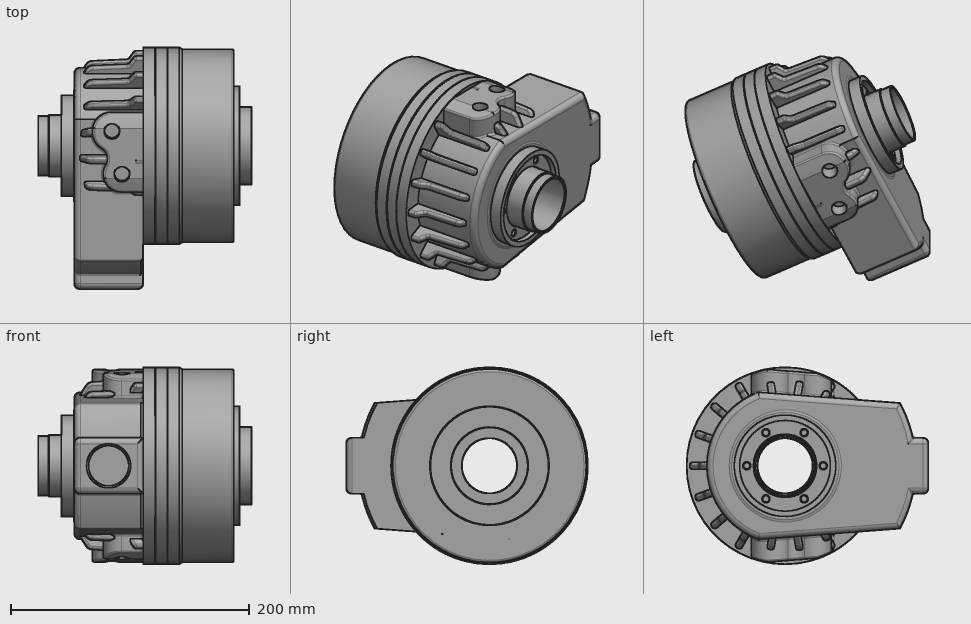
import cadquery as cq
import math


head_front = -57.8
head_radius = 65.5
end_radius = 109.7
side_height = 59.9
side_slope = 4.3
face_fillet = 5.0
end_corner_fillet = 1.5
block_root_fillet = 1.5
end_rear_chamfer = 1.9
port_block_end = -120.15
port_block_half_height = 23.5
port_x = -29.0
port_radius = 16.8
port_mouth_radius = 18.5
port_depth = 45.0
pad_height = 0.5
pad_base_radius = 47.0
pad_top_radius = 45.0
flange_radius = 82.5
flange_thickness = 10.0

upper_lobe = (-26.2, 11.8, 16.5)
lower_lobe = (-18.6, -23.7, 15.0)
neck_radius = 10.0
boss_edge_fillet = 1.8
boss_flange_fillet = 2.0
boss_crown_radius = 82.0
boss_base_z = 50.0
boss_top_height = 79.5
boss_top_slope = 4.5
connection_centres = ((-26.2, 12.0), (-17.8, -23.9))
connection_radius = 6.4
connection_depth = 15.0

rib_width = 6.0
rib_pitch = 20.0
ribs_each_side = 6
rib_root_radius = 58.0
rib_edge_fillet = 2.4

rotor_gap = 0.5
shaft_radius = 42.5
shaft_front = -68.5
recess_radius = 38.0
recess_depth = 5.0
screw_count = 6
screw_circle_radius = 32.0
screw_radius = 2.7
screw_mouth_radius = 3.3
screw_depth = 15.0
joint_x = 20.0
joint_width = 0.5
joint_depth = 1.0
rim_end = 30.2
barrel_start = 32.6
barrel_radius = 81.0
barrel_end = 76.0
barrel_fillet = 2.0
cover_radius = 50.0
cover_end = 81.0
cover_chamfer = 0.6

tube_front = -88.0
tube_rear = 91.0
tube_radius = 26.0
tube_clearance = 0.5
spigot_radius = 25.0
spigot_end = -79.5
spigot_chamfer = 0.6
rod_radius = 32.5
rod_chamfer = 0.5
tube_bore_radius = 23.0
tube_bore_chamfer = 0.5


def cylinder(radius, start, end):
    """Solid cylinder on the X axis between two X positions."""
    return cq.Workplane("YZ", origin=(start, 0, 0)).circle(radius).extrude(end - start)


def revolved(points):
    """Solid of revolution about the X axis from (X, radius) points."""
    return cq.Workplane("XY").polyline(points).close().revolve(360, (0, 0, 0), (1, 0, 0))


def mirrored_pair(body):
    """A body together with its mirror image below the XY plane."""
    return body.union(body.mirror("XY"))


def circle_meets_side(radius, sign):
    """Point (Y, Z) where a circle about the axis meets the upper sloping side, on the +Y or -Y half."""
    slope = math.radians(side_slope)
    along = math.sqrt(radius**2 - (side_height * math.cos(slope))**2)
    foot_y = -side_height * math.sin(slope) * math.cos(slope)
    foot_z = side_height * math.cos(slope)**2
    return (foot_y + sign * along * math.cos(slope), foot_z + sign * along * math.sin(slope))


def make_head():
    round_y, round_z = circle_meets_side(head_radius, 1)
    end_y, end_z = circle_meets_side(end_radius, -1)
    head = (
        cq.Workplane("YZ", origin=(head_front, 0, 0))
        .moveTo(end_y, end_z)
        .lineTo(round_y, round_z)
        .threePointArc((head_radius, 0), (round_y, -round_z))
        .lineTo(end_y, -end_z)
        .threePointArc((-end_radius, 0), (end_y, end_z))
        .close()
        .extrude(-head_front)
    )
    end_box = cq.selectors.BoxSelector((head_front - 1, end_y - 1, -end_radius), (1, end_y + 1, end_radius))
    head = head.faces("<X").edges().fillet(face_fillet)
    rear_end = cq.selectors.BoxSelector((-1, -end_radius, -10), (1, end_y - 1, 10))
    head = head.edges(rear_end).chamfer(end_rear_chamfer)
    head = head.edges("|X").edges(end_box).fillet(end_corner_fillet)

    block = (
        cq.Workplane("XY")
        .box(-head_front, -port_block_end, 2 * port_block_half_height, centered=False)
        .translate((head_front, port_block_end, -port_block_half_height))
        .edges("<Y or (<X and |Y)")
        .fillet(face_fillet)
    )
    joined = head.union(block)
    root_y = -math.sqrt(end_radius**2 - port_block_half_height**2)
    for sign in (1, -1):
        root_z = sign * port_block_half_height
        root = cq.selectors.BoxSelector(
            (head_front + face_fillet, root_y - 0.5, root_z - 0.5), (0, root_y + 0.5, root_z + 0.5)
        )
        joined = joined.edges(root).fillet(block_root_fillet)
    return joined


def make_boss():
    """Two-lobed boss with a sloping top, trimmed by a cylinder about the axis."""
    x1, y1, radius1 = upper_lobe
    x2, y2, radius2 = lower_lobe
    pitch = math.hypot(x2 - x1, y2 - y1)
    ux, uy = (x2 - x1) / pitch, (y2 - y1) / pitch
    reach1 = radius1 + neck_radius
    reach2 = radius2 + neck_radius
    along = (pitch**2 + reach1**2 - reach2**2) / (2 * pitch)
    offset = math.sqrt(reach1**2 - along**2)
    neck_x = x1 + ux * along + uy * offset
    neck_y = y1 + uy * along - ux * offset
    neck_start = (x1 + (neck_x - x1) * radius1 / reach1, y1 + (neck_y - y1) * radius1 / reach1)
    neck_end = (x2 + (neck_x - x2) * radius2 / reach2, y2 + (neck_y - y2) * radius2 / reach2)
    lower_wall = y2 - radius2

    outline = (
        cq.Workplane("XY", origin=(0, 0, boss_base_z))
        .moveTo(0, y1 + radius1)
        .lineTo(x1, y1 + radius1)
        .threePointArc((x1 - radius1, y1), neck_start)
        .threePointArc((neck_x - uy * neck_radius, neck_y + ux * neck_radius), neck_end)
        .threePointArc(
            (x2 - radius2 * math.cos(math.pi / 4), y2 - radius2 * math.sin(math.pi / 4)),
            (x2, lower_wall),
        )
        .lineTo(-boss_flange_fillet, lower_wall)
        .radiusArc((0, lower_wall - boss_flange_fillet), boss_flange_fillet)
        .close()
    )
    boss = outline.extrude(flange_radius - boss_base_z)
    boss = boss.intersect(cylinder(boss_crown_radius, -flange_radius, 0))
    reach_y = flange_radius
    drop = reach_y * math.tan(math.radians(boss_top_slope))
    above_top = (
        cq.Workplane("YZ", origin=(-flange_radius, 0, 0))
        .moveTo(-reach_y, boss_top_height - drop)
        .lineTo(reach_y, boss_top_height + drop)
        .lineTo(reach_y, 2 * flange_radius)
        .lineTo(-reach_y, 2 * flange_radius)
        .close()
        .extrude(flange_radius)
    )
    boss = boss.cut(above_top)

    top_edges = cq.selectors.BoxSelector((-50, -50, 68), (-0.5, 50, flange_radius))
    creases = cq.selectors.BoxSelector((-25, -30, 68), (-10, 20, flange_radius))
    return boss.edges(top_edges - creases).fillet(boss_edge_fillet)


def join_bosses(head):
    """Both bosses on the head, with a fillet around each foot."""
    joined = head.union(mirrored_pair(make_boss()))
    for low, high in ((55, 61), (-61, -55)):
        foot = cq.selectors.BoxSelector((-43, -44, low), (-0.5, 30, high))
        joined = joined.edges(foot).fillet(boss_edge_fillet)
    return joined


def make_rib():
    """Rib on the +Y side, lying in the XY plane, with a rounded crest."""
    front_toe = (-54.5, rib_root_radius)
    shoulder = (-46.0, 71.1)
    step_foot = (-12.5, 72.6)
    step_top = (-7.2, 79.7)
    rib = (
        cq.Workplane("XY", origin=(0, 0, -rib_width / 2))
        .polyline([front_toe, shoulder, step_foot, step_top, (0, step_top[1]), (0, rib_root_radius)])
        .close()
        .extrude(rib_width)
    )
    for corner, radius in ((shoulder, 7.0), (step_foot, 3.0), (step_top, 3.0)):
        near = cq.selectors.BoxSelector(
            (corner[0] - 0.5, corner[1] - 0.5, -rib_width), (corner[0] + 0.5, corner[1] + 0.5, rib_width)
        )
        rib = rib.edges("|Z").edges(near).fillet(radius)
    crest = cq.selectors.BoxSelector((-54.3, rib_root_radius + 0.5, -rib_width), (-0.1, flange_radius, rib_width))
    return rib.edges("#Z").edges(crest).fillet(rib_edge_fillet)


def make_port():
    mouth = port_mouth_radius - port_radius
    start = cq.Workplane("XZ", origin=(port_x, port_block_end, 0))
    bore = start.circle(port_radius).extrude(-port_depth)
    cone = cq.Workplane(
        cq.Solid.makeCone(
            port_mouth_radius, port_radius, mouth,
            cq.Vector(port_x, port_block_end, 0), cq.Vector(0, 1, 0),
        )
    )
    return bore.union(cone)


def make_connections():
    """Pair of blind connection holes, square to the sloping boss top."""
    holes = cq.Workplane("XY")
    slope = math.radians(boss_top_slope)
    for x, y in connection_centres:
        mouth = cq.Vector(x, y, boss_top_height + y * math.tan(slope))
        inward = cq.Vector(0, math.sin(slope), -math.cos(slope))
        start = mouth - inward * 5
        hole = cq.Solid.makeCylinder(connection_radius, connection_depth + 5, start, inward)
        holes = holes.add(cq.Workplane(hole))
    return holes.combine()


def make_housing():
    body = join_bosses(make_head())
    rib = make_rib()
    for step in range(-ribs_each_side, ribs_each_side + 1):
        body = body.union(rib.rotate((0, 0, 0), (1, 0, 0), step * rib_pitch))
    body = body.union(cylinder(flange_radius, 0, flange_thickness))
    body = body.union(
        revolved([
            (head_front, 0),
            (head_front, pad_base_radius),
            (head_front - pad_height, pad_top_radius),
            (head_front - pad_height, 0),
        ])
    )
    body = body.cut(mirrored_pair(make_connections())).cut(make_port())
    return body.cut(cylinder(shaft_radius, shaft_front, flange_thickness))


def make_rotor():
    rim_start = flange_thickness + rotor_gap
    joint_end = joint_x + joint_width
    joint_floor = flange_radius - joint_depth
    bore = tube_radius + tube_clearance
    recess_floor = shaft_front + recess_depth
    rotor = revolved([
        (recess_floor, bore),
        (recess_floor, recess_radius),
        (shaft_front, recess_radius),
        (shaft_front, shaft_radius),
        (rim_start, shaft_radius),
        (rim_start, flange_radius),
        (joint_x, flange_radius),
        (joint_x, joint_floor),
        (joint_end, joint_floor),
        (joint_end, flange_radius),
        (rim_end, flange_radius),
        (barrel_start, barrel_radius),
        (barrel_end, barrel_radius),
        (barrel_end, cover_radius),
        (cover_end - cover_chamfer, cover_radius),
        (cover_end, cover_radius - cover_chamfer),
        (cover_end, rod_radius),
        (joint_end, rod_radius),
        (joint_end, bore),
    ])
    barrel_edge = cq.selectors.RadiusNthSelector(-1)
    rim = rotor.edges(cq.selectors.BoxSelector((barrel_end - 0.1, -90, -90), (barrel_end + 0.1, 90, 90)))
    rotor = rim.edges(barrel_edge).fillet(barrel_fillet)
    screw = revolved([
        (recess_floor, 0),
        (recess_floor, screw_mouth_radius),
        (recess_floor + screw_mouth_radius - screw_radius, screw_radius),
        (recess_floor + screw_depth, screw_radius),
        (recess_floor + screw_depth, 0),
    ]).translate((0, screw_circle_radius, 0))
    for index in range(screw_count):
        rotor = rotor.cut(screw.rotate((0, 0, 0), (1, 0, 0), index * 360 / screw_count))
    return rotor


def make_piston_tube():
    rod_start = joint_x + joint_width
    return revolved([
        (tube_front + tube_bore_chamfer, tube_bore_radius),
        (tube_front, tube_bore_radius + tube_bore_chamfer),
        (tube_front, spigot_radius),
        (spigot_end, spigot_radius),
        (spigot_end + spigot_chamfer, tube_radius),
        (rod_start, tube_radius),
        (rod_start, rod_radius),
        (tube_rear - rod_chamfer, rod_radius),
        (tube_rear, rod_radius - rod_chamfer),
        (tube_rear, tube_bore_radius),
    ])


housing = make_housing()
rotor = make_rotor()
piston_tube = make_piston_tube()

result = cq.Compound.makeCompound([housing.val(), rotor.val(), piston_tube.val()])